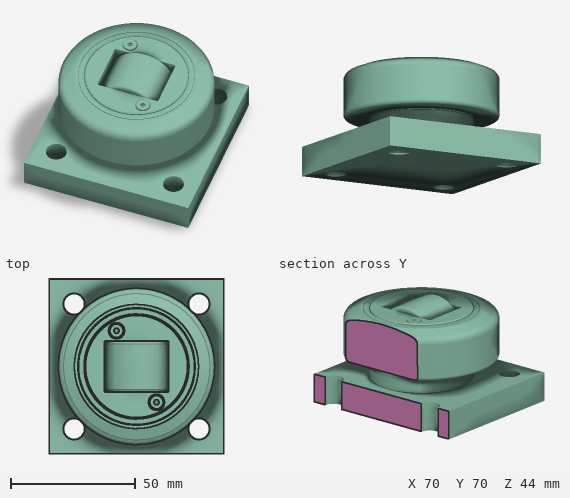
import cadquery as cq
import math

plate_size = 70.0
plate_thickness = 12.0
bolt_spacing = 50.0
bolt_hole_diameter = 8.4

neck_diameter = 42.0
neck_chamfer = 0.4
neck_top = 20.45
collar_diameter = 42.1
hub_diameter = 41.5
hub_top = 41.5
hub_chamfer = 0.35

ring_diameter = 62.5
ring_bottom = 20.9
ring_top = 41.0
ring_flat_diameter = 49.7
ring_slope = 20.0
ring_top_fillet = 3.0
ring_bottom_fillet = 1.4

seal_diameter = 47.0
groove_width = 0.3
groove_depth = 0.35

roller_top = 44.0
roller_diameter = 27.0
roller_width = 20.0
roller_crown = 0.15
roller_edge_fillet = 1.0
pocket_length = 25.9
pocket_width = 20.5
pocket_corner_radius = 0.7

screw_circle_radius = 16.4
screw_angle = 119.2
screw_head_diameter = 5.3
screw_head_rise = 0.2
screw_recess_diameter = 6.45
socket_flats = 1.95
socket_depth = 1.0

roller_axis_height = roller_top - roller_diameter / 2


def disc(diameter, bottom, top):
    """Upright cylinder on the Z axis between two heights."""
    return cq.Workplane("XY").workplane(offset=bottom).circle(diameter / 2).extrude(top - bottom)


def make_plate():
    """Square plate with a through hole near each corner."""
    plate = cq.Workplane("XY").rect(plate_size, plate_size).extrude(plate_thickness)
    return (
        plate.faces(">Z")
        .workplane()
        .rect(bolt_spacing, bolt_spacing, forConstruction=True)
        .vertices()
        .hole(bolt_hole_diameter)
    )


def make_post():
    """Neck chamfered at both ends, slightly wider collar above it, and the hub that fills the ring."""
    neck = disc(neck_diameter, plate_thickness, neck_top).faces("<Z or >Z").chamfer(neck_chamfer)
    collar = disc(collar_diameter, neck_top, ring_top)
    hub = disc(hub_diameter, ring_bottom, hub_top).faces(">Z").chamfer(hub_chamfer)
    return neck.union(collar).union(hub)


def make_ring():
    """Solid of the outer ring: flat top, conical shoulder and rounded rims."""
    radius = ring_diameter / 2
    flat_radius = ring_flat_diameter / 2
    shoulder_height = ring_top - (radius - flat_radius) * math.tan(math.radians(ring_slope))
    ring = (
        cq.Workplane("XZ")
        .moveTo(0, ring_bottom)
        .lineTo(radius, ring_bottom)
        .lineTo(radius, shoulder_height)
        .lineTo(flat_radius, ring_top)
        .lineTo(0, ring_top)
        .close()
        .revolve(360, (0, 0, 0), (0, 1, 0))
    )
    ring = ring.faces("<Z").edges().fillet(ring_bottom_fillet)
    shoulder_edge = cq.selectors.BoxSelector(
        (-radius - 0.7, -radius - 0.7, shoulder_height - 0.1),
        (radius + 0.7, radius + 0.7, shoulder_height + 0.1),
        boundingbox=True,
    )
    return ring.edges(shoulder_edge).fillet(ring_top_fillet)


def make_groove(outer_diameter):
    """Narrow ring-shaped cut in the top of the ring."""
    groove_bottom = ring_top - groove_depth
    outer = disc(outer_diameter, groove_bottom, ring_top)
    inner = disc(outer_diameter - 2 * groove_width, groove_bottom, ring_top)
    return outer.cut(inner)


def make_pocket():
    """Rectangular opening from the hub top down to the roller axis."""
    return (
        cq.Workplane("XY")
        .workplane(offset=roller_axis_height)
        .rect(pocket_length, pocket_width)
        .extrude(hub_top - roller_axis_height)
        .edges("|Z")
        .fillet(pocket_corner_radius)
    )


def make_roller():
    """Roller lying along Y, slightly crowned, with rounded rims."""
    mid_radius = roller_diameter / 2
    rim_radius = mid_radius - roller_crown
    half_width = roller_width / 2
    return (
        cq.Workplane("XY")
        .moveTo(0, -half_width)
        .lineTo(rim_radius, -half_width)
        .threePointArc((mid_radius, 0), (rim_radius, half_width))
        .lineTo(0, half_width)
        .close()
        .revolve(360, (0, 0, 0), (0, 1, 0))
        .faces("<Y or >Y")
        .edges()
        .fillet(roller_edge_fillet)
        .translate((0, 0, roller_axis_height))
    )


def add_screw(body, angle):
    """Countersink the hub and set a screw head with a hexagon socket into it."""
    x = screw_circle_radius * math.cos(math.radians(angle))
    y = screw_circle_radius * math.sin(math.radians(angle))
    head_top = hub_top + screw_head_rise
    countersink_depth = (screw_recess_diameter - screw_head_diameter) / 2
    countersink = (
        disc(screw_recess_diameter, hub_top - countersink_depth, hub_top)
        .faces("<Z")
        .chamfer(countersink_depth * 0.999)
    )
    head = disc(screw_head_diameter, hub_top - socket_depth - 0.7, head_top)
    socket = (
        cq.Workplane("XY")
        .workplane(offset=head_top)
        .polygon(6, socket_flats / math.cos(math.pi / 6))
        .extrude(-socket_depth)
    )
    offset = (x, y, 0)
    return body.cut(countersink.translate(offset)).union(head.cut(socket).translate(offset))


result = make_plate().union(make_post()).union(make_ring())
for groove_diameter in (seal_diameter, collar_diameter):
    result = result.cut(make_groove(groove_diameter))
result = result.cut(make_pocket()).union(make_roller())
for angle in (screw_angle, screw_angle + 180):
    result = add_screw(result, angle)